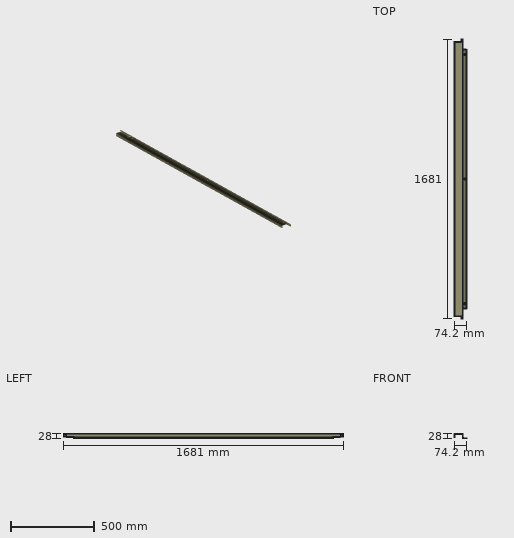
import cadquery as cq

LENGTH = 1681.0
WIDTH = 74.2
HEIGHT = 28.0
THICKNESS = 2.0
INNER_RADIUS = 3.0
LIP_HEIGHT = 20.0
FLANGE_WIDTH = 24.0
FLANGE_LENGTH = 1560.0
CORNER_RADIUS = 6.0
EAR_LENGTH = 15.0
EAR_WIDTH = 11.0
EAR_HEIGHT = 18.0
HOLE_DIAMETER = 7.0
HOLE_EDGE_DISTANCE = 10.0
HOLE_PITCH = 750.0

OUTER_RADIUS = INNER_RADIUS + THICKNESS
X_LIP = -WIDTH / 2
X_FREE = WIDTH / 2
X_WEB_INNER = X_FREE - FLANGE_WIDTH
X_WEB_OUTER = X_WEB_INNER + THICKNESS
Z_LIP = HEIGHT - LIP_HEIGHT
Z_EAR = HEIGHT - EAR_HEIGHT
PLATE_LENGTH = LENGTH - 2 * EAR_LENGTH


def box_between(x_range, y_range, z_range):
    """Axis-aligned box spanning the three (low, high) ranges."""
    sizes = [high - low for low, high in (x_range, y_range, z_range)]
    corner = (x_range[0], y_range[0], z_range[0])
    return cq.Workplane("XY").box(*sizes, centered=False).translate(corner)


def bent_sheet():
    """Lip, top plate, web and flange as one bent section, extruded over the full length."""
    section = (
        cq.Workplane("XZ")
        .moveTo(X_LIP, Z_LIP)
        .lineTo(X_LIP, HEIGHT - OUTER_RADIUS)
        .radiusArc((X_LIP + OUTER_RADIUS, HEIGHT), OUTER_RADIUS)
        .lineTo(X_WEB_OUTER - OUTER_RADIUS, HEIGHT)
        .radiusArc((X_WEB_OUTER, HEIGHT - OUTER_RADIUS), OUTER_RADIUS)
        .lineTo(X_WEB_OUTER, OUTER_RADIUS)
        .radiusArc((X_WEB_OUTER + INNER_RADIUS, THICKNESS), -INNER_RADIUS)
        .lineTo(X_FREE, THICKNESS)
        .lineTo(X_FREE, 0)
        .lineTo(X_WEB_INNER + OUTER_RADIUS, 0)
        .radiusArc((X_WEB_INNER, OUTER_RADIUS), OUTER_RADIUS)
        .lineTo(X_WEB_INNER, HEIGHT - OUTER_RADIUS)
        .radiusArc((X_WEB_INNER - INNER_RADIUS, HEIGHT - THICKNESS), -INNER_RADIUS)
        .lineTo(X_LIP + OUTER_RADIUS, HEIGHT - THICKNESS)
        .radiusArc((X_LIP + THICKNESS, HEIGHT - OUTER_RADIUS), -INNER_RADIUS)
        .lineTo(X_LIP + THICKNESS, Z_LIP)
        .close()
    )
    return section.extrude(LENGTH / 2, both=True)


def cut_ends(sheet):
    """Shorten the lip and top plate, and the flange, leaving an ear at each end of the web."""
    for side in (-1, 1):
        y_end = side * LENGTH / 2
        y_plate = sorted((side * PLATE_LENGTH / 2, y_end))
        y_flange = sorted((side * FLANGE_LENGTH / 2, y_end))
        sheet = sheet.cut(box_between((X_LIP, X_WEB_OUTER - EAR_WIDTH), y_plate, (0, HEIGHT)))
        sheet = sheet.cut(box_between((X_WEB_INNER, X_FREE), y_flange, (0, Z_EAR)))
    return sheet


def round_free_corners(sheet):
    """Round the two free corners of the lip and of the flange."""
    reach = THICKNESS / 2
    for side in (-1, 1):
        y_plate = side * PLATE_LENGTH / 2
        y_flange = side * FLANGE_LENGTH / 2
        lip_corner = cq.selectors.BoxSelector(
            (X_LIP - reach, y_plate - reach, Z_LIP - reach),
            (X_LIP + THICKNESS + reach, y_plate + reach, Z_LIP + reach),
        )
        flange_corner = cq.selectors.BoxSelector(
            (X_FREE - reach, y_flange - reach, -reach),
            (X_FREE + reach, y_flange + reach, THICKNESS + reach),
        )
        sheet = sheet.edges("|X").edges(lip_corner).fillet(CORNER_RADIUS)
        sheet = sheet.edges("|Z").edges(flange_corner).fillet(CORNER_RADIUS)
    return sheet


def flange_holes():
    """Cylinders for the row of holes along the flange."""
    x_hole = X_FREE - HOLE_EDGE_DISTANCE
    centres = [(x_hole, step * HOLE_PITCH) for step in (-1, 0, 1)]
    return cq.Workplane("XY").pushPoints(centres).circle(HOLE_DIAMETER / 2).extrude(THICKNESS)


result = round_free_corners(cut_ends(bent_sheet())).cut(flange_holes())